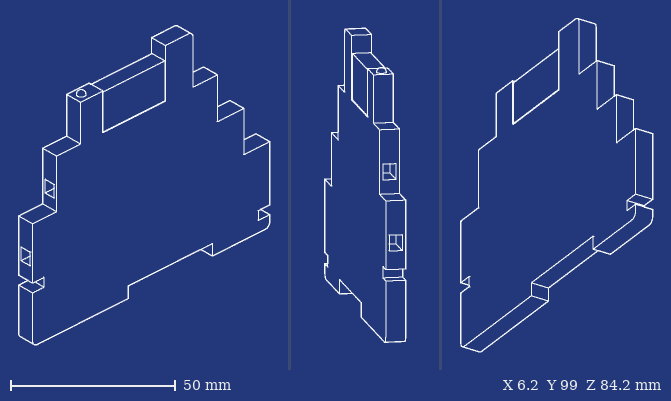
import cadquery as cq

width = 6.2
length = 99.0
height = 84.25
corner_radius = 2.0

shoulder_drop = 20.0
deck_z = height - shoulder_drop
near_shoulder_z = deck_z - shoulder_drop
near_post_z = height - 5.0
far_shoulder_low_z = 30.75
far_shoulder_high_z = 47.4

near_deck_y = 10.0
near_post_y = 20.0
relay_start_y = 29.4
relay_length = 26.0
relay_end_y = relay_start_y + relay_length
far_post_y = 67.0
far_deck_y = 77.2
far_shoulder_y = 88.2

rail_start_y = 40.0
rail_width = 35.0
rail_end_y = rail_start_y + rail_width
rail_depth = 4.5

slot_depth = 4.8
near_slot_z = 19.4
far_slot_z = rail_depth
slot_height = 3.5

relay_width = 5.7
relay_top_z = 78.65

lamp_radius = 1.5
lamp_y = 23.2

entry_width = 4.0
entry_height = 4.9
entry_depth = 10.0
entry_rise = 4.4


def box(size_x, y_start, y_end, z_start, z_end):
    """Block centred on X = 0 between the given Y and Z limits."""
    block = cq.Workplane("XY").box(size_x, y_end - y_start, z_end - z_start, centered=(True, False, False))
    return block.translate((0, y_start, z_start))


def make_housing():
    outline = [
        (0, 0),
        (0, near_shoulder_z),
        (near_deck_y, near_shoulder_z),
        (near_deck_y, deck_z),
        (near_post_y, deck_z),
        (near_post_y, near_post_z),
        (relay_start_y, near_post_z),
        (relay_start_y, deck_z),
        (relay_end_y, deck_z),
        (relay_end_y, height),
        (far_post_y, height),
        (far_post_y, deck_z),
        (far_deck_y, deck_z),
        (far_deck_y, far_shoulder_high_z),
        (far_shoulder_y, far_shoulder_high_z),
        (far_shoulder_y, far_shoulder_low_z),
        (length, far_shoulder_low_z),
        (length, 0),
        (rail_end_y, 0),
        (rail_end_y, rail_depth),
        (rail_start_y, rail_depth),
        (rail_start_y, 0),
    ]
    housing = cq.Workplane("YZ").polyline(outline).close().extrude(width / 2, both=True)
    rounded_corners = [(0, 0), (length, 0), (far_post_y, height)]
    for y, z in rounded_corners:
        edge = housing.edges(cq.selectors.NearestToPointSelector((0, y, z)))
        housing = edge.fillet(corner_radius)
    return housing


def cut_end_slots(body):
    near_slot = box(width, 0, slot_depth, near_slot_z, near_slot_z + slot_height)
    far_slot = box(width, length - slot_depth, length, far_slot_z, far_slot_z + slot_height)
    return body.cut(near_slot).cut(far_slot)


def cut_wire_entries(body):
    upper_sill_z = near_shoulder_z + entry_rise
    lower_sill_z = upper_sill_z - shoulder_drop
    for face_y, sill_z in [(near_deck_y, upper_sill_z), (0, lower_sill_z)]:
        entry = box(entry_width, face_y, face_y + entry_depth, sill_z, sill_z + entry_height)
        body = body.cut(entry)
    return body


def make_relay():
    return box(relay_width, relay_start_y, relay_end_y, deck_z, relay_top_z)


def make_lamp():
    return cq.Workplane("XY").sphere(lamp_radius).translate((0, lamp_y, near_post_z))


housing = cut_wire_entries(cut_end_slots(make_housing()))
result = housing.union(make_relay()).union(make_lamp())